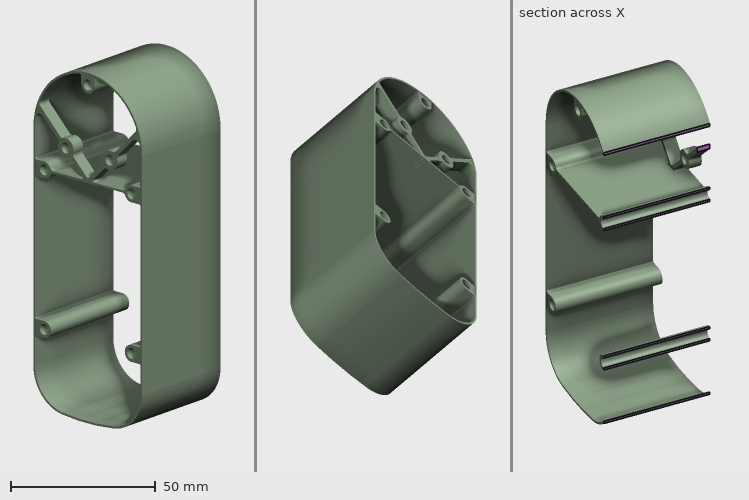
import cadquery as cq
import math

width = 50.0
depth = 41.0
height = 127.4
wall = 0.8
half_width = width / 2
half_height = height / 2
front_y = -depth / 2

top_radius = half_width
corner_radius = 15.0
base_radius = 93.0

hole_radius = 4.0 / 2
boss_radius = 3.0
side_boss_x = 20.0
upper_boss_z = 24.1
lower_boss_z = -33.9
top_boss_z = 59.3

brace_boss_x = 10.1
brace_boss_z = upper_boss_z + brace_boss_x
brace_boss_radius = 3.6
brace_depth = 5.0
rib_width = 1.5
rib_angle = 45
web_thickness = 0.8

boss_blend = 0.6
web_blend = 1.5
brace_boss_blend = 1.5
vee_blend = 1.0
brace_upper_end_blend = 1.5
brace_lower_end_blend = 2.0


def front_plane():
    """Front face of the tube, with X across and Z up."""
    return cq.Workplane("XZ", origin=(0, front_y, 0))


def tube_profile(inset, length):
    """Tube outline moved inward by inset and extruded backward."""
    side = half_width - inset
    bottom = -half_height + inset
    corner = corner_radius - inset
    base = base_radius - inset
    top_centre_z = half_height - top_radius
    corner_x = half_width - corner_radius
    base_centre_z = -half_height + base_radius
    centre_rise = math.sqrt((base_radius - corner_radius) ** 2 - corner_x**2)
    corner_z = base_centre_z - centre_rise
    tangent_angle = math.atan2(corner_x, centre_rise)
    tangent_x = base * math.sin(tangent_angle)
    tangent_z = base_centre_z - base * math.cos(tangent_angle)
    middle_angle = (math.pi / 2 + tangent_angle) / 2
    middle_x = corner_x + corner * math.sin(middle_angle)
    middle_z = corner_z - corner * math.cos(middle_angle)
    return (
        front_plane()
        .moveTo(-side, top_centre_z)
        .threePointArc((0, half_height - inset), (side, top_centre_z))
        .lineTo(side, corner_z)
        .threePointArc((middle_x, middle_z), (tangent_x, tangent_z))
        .threePointArc((0, bottom), (-tangent_x, tangent_z))
        .threePointArc((-middle_x, middle_z), (-side, corner_z))
        .close()
        .extrude(-length)
    )


def cylinders(points, radius, length):
    """Solid rods running back from the front face."""
    return front_plane().pushPoints(points).circle(radius).extrude(-length)


def slab(centre, size, length, angle=0):
    """Rectangular bar through a point, turned by angle about Y."""
    return (
        front_plane()
        .center(*centre)
        .transformed(rotate=(0, 0, angle))
        .rect(*size)
        .extrude(-length)
    )


def blend(body, x, z, reach, radius):
    """Round the depthwise edges close to (x, z)."""
    region = cq.selectors.BoxSelector((x - reach, -depth, z - reach), (x + reach, depth, z + reach))
    return body.edges("|Y").edges(region).fillet(radius)


envelope = tube_profile(0, depth)
tube = envelope.cut(tube_profile(wall, depth))

side_bosses = [(s * side_boss_x, z) for s in (-1, 1) for z in (upper_boss_z, lower_boss_z)]
bosses = side_bosses + [(0, top_boss_z)]
body = tube.union(cylinders(bosses, boss_radius, depth))

foot_length = half_width - side_boss_x
for x, z in side_bosses:
    foot_x = math.copysign(side_boss_x + foot_length / 2, x)
    body = body.union(slab((foot_x, z), (foot_length, 2 * boss_radius), depth).intersect(envelope))
top_foot = half_height - top_boss_z
top_foot_bar = slab((0, top_boss_z + top_foot / 2), (2 * boss_radius, top_foot), depth)
body = body.union(top_foot_bar.intersect(envelope))
body = body.union(slab((0, upper_boss_z), (2 * side_boss_x, web_thickness), depth))

rib_length = width
rib_reach = rib_length / 2 * math.sqrt(0.5)
for side in (-1, 1):
    rib_centre = (side * rib_reach, upper_boss_z + rib_reach)
    rib = slab(rib_centre, (rib_length, rib_width), brace_depth, side * rib_angle)
    body = body.union(rib.intersect(envelope))
brace_bosses = [(s * brace_boss_x, brace_boss_z) for s in (-1, 1)]
body = body.union(cylinders(brace_bosses, brace_boss_radius, brace_depth))

near = 0.1
inner_x = half_width - wall
inner_radius = top_radius - wall
top_centre_z = half_height - top_radius
top_foot_z = top_centre_z + math.sqrt(inner_radius**2 - boss_radius**2)
web_joint_x = side_boss_x - math.sqrt(boss_radius**2 - (web_thickness / 2) ** 2)
for s in (-1, 1):
    body = blend(body, s * boss_radius, top_foot_z, near, boss_blend)
    for z in (upper_boss_z, lower_boss_z):
        for edge_z in (z - boss_radius, z + boss_radius):
            body = blend(body, s * inner_x, edge_z, near, boss_blend)
    body = blend(body, s * web_joint_x, upper_boss_z, web_thickness, web_blend)

rib_rise = rib_width / 2 * math.sqrt(2)
boss_along = math.sqrt(brace_boss_radius**2 - (rib_width / 2) ** 2)
boss_offsets = [
    ((a - b) * math.sqrt(0.5), (a + b) * math.sqrt(0.5))
    for a in (-boss_along, boss_along)
    for b in (-rib_width / 2, rib_width / 2)
]
centre_gap = top_centre_z - upper_boss_z
for s in (-1, 1):
    for dx, dz in boss_offsets:
        body = blend(body, s * (brace_boss_x + dx), brace_boss_z + dz, near, brace_boss_blend)
    for rise, radius in ((-rib_rise, brace_lower_end_blend), (rib_rise, brace_upper_end_blend)):
        gap = centre_gap - rise
        end_x = (gap + math.sqrt(2 * inner_radius**2 - gap**2)) / 2
        body = blend(body, s * end_x, upper_boss_z + rise + end_x, near, radius)
    web_x = web_thickness / 2 + rib_rise
    body = blend(body, s * web_x, upper_boss_z + web_thickness / 2, near, boss_blend)
body = blend(body, 0, upper_boss_z + rib_rise, near, vee_blend)

result = body.cut(cylinders(bosses + brace_bosses, hole_radius, depth))